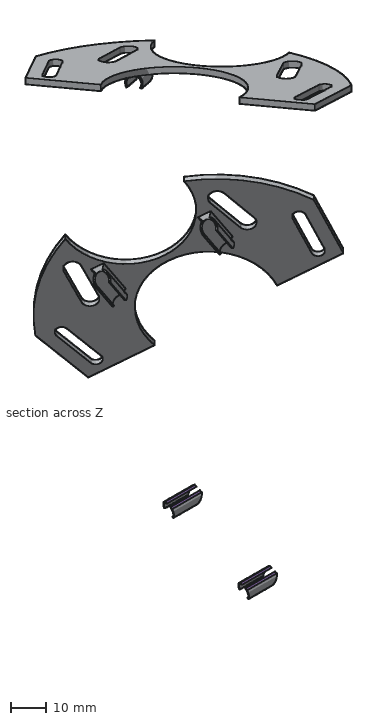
import cadquery as cq
import math

width = 94.0
thickness = 2.0
front_half_width = 43.05
shoulder_y = 21.5
rim_radius = 51.9
back_cutout_radius = 20.0
back_cutout_y = 47.0
front_cutout_radius = 21.0
front_cutout_y = 3.7

outer_slot_width = 3.95
outer_slot_ends = ((37.5, 4.7), (40.0, 18.4))
inner_slot_width = 5.4
inner_slot_ends = ((26.5, 24.6), (24.4, 36.85))

height = 7.05
clip_x = 18.05
clip_front_y = 22.4
clip_back_y = 33.8
clip_back_y_bottom = 30.4
clip_bore_radius = 2.2
clip_wall = 0.52
clip_end_angle = 34.0
stem_top_half_width = 2.2
stem_bottom_half_width = 1.2

end_angle = math.radians(clip_end_angle)
clip_radius = clip_bore_radius + clip_wall
clip_z = -height + clip_radius * math.sin(end_angle)


def make_plate():
    """Fan-shaped plate with a round cutout at the front and at the back."""
    half_width = width / 2
    rim_center_y = shoulder_y - math.sqrt(rim_radius**2 - half_width**2)
    rim_top = (0, rim_center_y + rim_radius)
    fan = (
        cq.Workplane("XY")
        .moveTo(-front_half_width, 0)
        .lineTo(front_half_width, 0)
        .lineTo(half_width, shoulder_y)
        .threePointArc(rim_top, (-half_width, shoulder_y))
        .close()
        .extrude(-thickness)
    )
    back_cutout = (
        cq.Workplane("XY").center(0, back_cutout_y).circle(back_cutout_radius).extrude(-thickness)
    )
    front_cutout = (
        cq.Workplane("XY").center(0, front_cutout_y).circle(front_cutout_radius).extrude(-thickness)
    )
    return fan.cut(back_cutout).cut(front_cutout)


def make_slot(ends, slot_width):
    """Through slot with rounded ends centred on the two given points."""
    (x1, y1), (x2, y2) = ends
    spacing = math.hypot(x2 - x1, y2 - y1)
    angle = math.degrees(math.atan2(y2 - y1, x2 - x1))
    return (
        cq.Workplane("XY")
        .center((x1 + x2) / 2, (y1 + y2) / 2)
        .slot2D(spacing + slot_width, slot_width, angle)
        .extrude(-thickness)
    )


def make_clip():
    """C-shaped clip on a tapered stem, with a sloping back end."""
    def on_circle(radius, side):
        return (clip_x + side * radius * math.cos(end_angle), clip_z - radius * math.sin(end_angle))

    section_plane = cq.Workplane("XZ", origin=(0, clip_front_y, 0))
    length = clip_back_y - clip_front_y
    ring = (
        section_plane
        .moveTo(*on_circle(clip_radius, -1))
        .threePointArc((clip_x, clip_z + clip_radius), on_circle(clip_radius, 1))
        .lineTo(*on_circle(clip_bore_radius, 1))
        .threePointArc((clip_x, clip_z + clip_bore_radius), on_circle(clip_bore_radius, -1))
        .close()
        .extrude(-length)
    )
    stem_bottom_z = clip_z + math.sqrt(clip_radius**2 - stem_bottom_half_width**2)
    stem = (
        section_plane
        .moveTo(clip_x - stem_top_half_width, -thickness)
        .lineTo(clip_x + stem_top_half_width, -thickness)
        .lineTo(clip_x + stem_bottom_half_width, stem_bottom_z)
        .lineTo(clip_x - stem_bottom_half_width, stem_bottom_z)
        .close()
        .extrude(-length)
    )
    bore = section_plane.center(clip_x, clip_z).circle(clip_bore_radius).extrude(-length)
    side_profile = (
        cq.Workplane("YZ")
        .polyline([
            (clip_front_y, -thickness),
            (clip_back_y, -thickness),
            (clip_back_y_bottom, -height),
            (clip_front_y, -height),
        ])
        .close()
        .extrude(width / 2)
    )
    return ring.union(stem).cut(bore).intersect(side_profile)


result = make_plate()
clip = make_clip()
result = result.union(clip).union(clip.mirror("YZ"))
for ends, slot_width in ((outer_slot_ends, outer_slot_width), (inner_slot_ends, inner_slot_width)):
    slot = make_slot(ends, slot_width)
    result = result.cut(slot).cut(slot.mirror("YZ"))